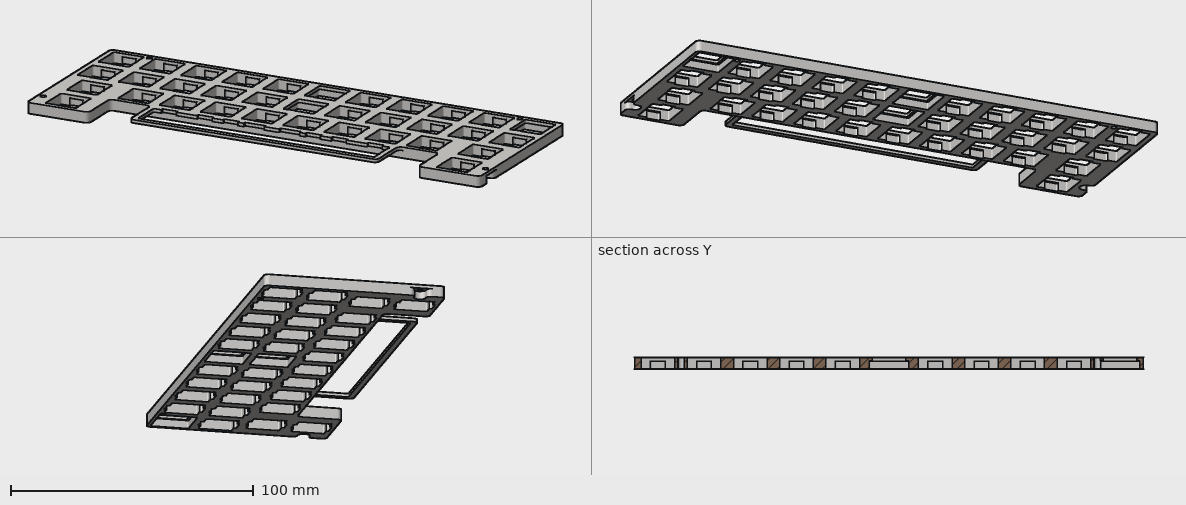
import cadquery as cq
import math

LENGTH = 209.8
DEPTH = 76.4
HEIGHT = 4.8
PLATE_THICKNESS = 1.5
BODY_HEIGHT = HEIGHT - PLATE_THICKNESS
CORNER_RADIUS = 2.0

KEY_COLUMNS = 11
KEY_SPAN = 190.5
KEY_UNIT = KEY_SPAN / (KEY_COLUMNS - 1)
KEY_WEB = 5.0
KEY_OPENING = KEY_UNIT - KEY_WEB
OPENING_CORNER_RADIUS = 0.5
EDGE_COLUMN = 4.75
LAST_COLUMN = (KEY_COLUMNS - 1) / 2
FULL_ROW = [column - LAST_COLUMN for column in range(KEY_COLUMNS)]
LETTER_ROW = [column - 3.5 for column in range(8)]
KEY_ROWS = {
    1.5: FULL_ROW,
    0.5: FULL_ROW,
    -0.5: [-EDGE_COLUMN] + LETTER_ROW + [EDGE_COLUMN],
    -1.5: [-EDGE_COLUMN, EDGE_COLUMN],
}

CLIP_WIDTH = 6.0
CLEARANCE_DEPTH = 1.0
CLIP_CORNER_RADIUS = 0.6
FULL_RELIEF_KEYS = [(0, 1.5), (0, 0.5), (LAST_COLUMN, 1.5)]

BAY_INNER_X = 3 * KEY_UNIT + (LENGTH - KEY_COLUMNS * KEY_UNIT) / 2
BAY_OUTER_X = 4 * KEY_UNIT
BAY_TOP_Y = -KEY_UNIT
BAR_WINDOW_LENGTH = 5 * KEY_UNIT + KEY_OPENING
BAR_WINDOW_Y = -1.5 * KEY_UNIT

STABILIZER_NOTCH_DEPTH = 1.3
STABILIZER_NOTCH_WIDTH = 7.0
STABILIZER_NOTCHES = [
    (8.2, 9.5),
    (KEY_UNIT, STABILIZER_NOTCH_WIDTH),
    (31.0, STABILIZER_NOTCH_WIDTH),
    (2.5 * KEY_UNIT, STABILIZER_NOTCH_WIDTH),
]

SCREW_DIAMETER = 2.3
REAR_SCREW_INSET = 2.7
SIDE_SCREW_INSET = 2.5
REAR_SCREW_X = 4.5 * KEY_UNIT
REAR_SCREW_Y = DEPTH / 2 - REAR_SCREW_INSET
SIDE_SCREW_X = LENGTH / 2 - SIDE_SCREW_INSET
SIDE_SCREW_Y = -28.1
SCREW_HEAD_WIDTH = 5.0


def block(x_min, x_max, y_min, y_max, z_min, z_max):
    """Axis-aligned box given by its limits."""
    size = (x_max - x_min, y_max - y_min, z_max - z_min)
    return cq.Workplane("XY").box(*size, centered=False).translate((x_min, y_min, z_min))


def centered_block(x, y, length, width, z_min, z_max):
    """Box centered on a point in plan."""
    return block(x - length / 2, x + length / 2, y - width / 2, y + width / 2, z_min, z_max)


def outline(z_min, z_max, bays):
    """Rectangular slab open at the front in the given X ranges, all corners rounded."""
    slab = centered_block(0, 0, LENGTH, DEPTH, z_min, z_max)
    for x_min, x_max in bays:
        slab = slab.cut(block(x_min, x_max, -DEPTH, BAY_TOP_Y, z_min, z_max))
    return slab.edges("|Z").fillet(CORNER_RADIUS)


def head_slot():
    """Round-ended screw head clearance under the plate, open to the +X edge through a flared mouth."""
    edge_x = LENGTH / 2
    half_width = SCREW_HEAD_WIDTH / 2
    low_y = SIDE_SCREW_Y - half_width
    high_y = SIDE_SCREW_Y + half_width
    bend = CORNER_RADIUS * (1 - math.sqrt(0.5))
    return (
        cq.Workplane("XY")
        .moveTo(edge_x, high_y + CORNER_RADIUS)
        .threePointArc((edge_x - bend, high_y + bend), (edge_x - CORNER_RADIUS, high_y))
        .lineTo(SIDE_SCREW_X, high_y)
        .threePointArc((SIDE_SCREW_X - half_width, SIDE_SCREW_Y), (SIDE_SCREW_X, low_y))
        .lineTo(edge_x - CORNER_RADIUS, low_y)
        .threePointArc((edge_x - bend, low_y - bend), (edge_x, low_y - CORNER_RADIUS))
        .close()
        .extrude(BODY_HEIGHT)
    )


def make_body():
    """Lower layer: one wide bay, with slots for the side screw heads."""
    body = outline(0, BODY_HEIGHT, [(-BAY_OUTER_X, BAY_OUTER_X)])
    slot = head_slot()
    return body.cut(slot).cut(slot.mirror("YZ"))


def make_plate():
    """Upper layer: two bays leave the space bar frame between them."""
    bays = [(-BAY_OUTER_X, -BAY_INNER_X), (BAY_INNER_X, BAY_OUTER_X)]
    return outline(BODY_HEIGHT, HEIGHT, bays)


def at_keys(tool, keys):
    """Copies of a cutting tool placed on the given (column, row) keys."""
    points = [(column * KEY_UNIT, row * KEY_UNIT) for column, row in keys]
    return cq.Workplane("XY").pushPoints(points).eachpoint(lambda place: tool.val().moved(place))


def rounded_square(size, radius, z_min, z_max):
    """Square block on the origin with rounded upright edges."""
    return centered_block(0, 0, size, size, z_min, z_max).edges("|Z").fillet(radius)


def clip_opening():
    """Switch opening with clip clearance under the plate at its front and rear walls."""
    opening = rounded_square(KEY_OPENING, OPENING_CORNER_RADIUS, 0, HEIGHT)
    clips = centered_block(0, 0, CLIP_WIDTH, KEY_OPENING + 2 * CLEARANCE_DEPTH, 0, BODY_HEIGHT)
    return opening.union(clips.edges("|Z").fillet(CLIP_CORNER_RADIUS))


def relieved_opening():
    """Switch opening widened all around under the plate."""
    opening = rounded_square(KEY_OPENING, OPENING_CORNER_RADIUS, 0, HEIGHT)
    relief_size = KEY_OPENING + 2 * CLEARANCE_DEPTH
    return opening.union(rounded_square(relief_size, OPENING_CORNER_RADIUS, 0, BODY_HEIGHT))


def bar_window():
    """Space bar window with mirrored pairs of stabilizer notches."""
    window = centered_block(0, BAR_WINDOW_Y, BAR_WINDOW_LENGTH, KEY_OPENING, BODY_HEIGHT, HEIGHT)
    window = window.edges("|Z").fillet(OPENING_CORNER_RADIUS)
    rear_y = BAR_WINDOW_Y + KEY_OPENING / 2
    for distance, width in STABILIZER_NOTCHES:
        for x in (-distance, distance):
            notch = block(x - width / 2, x + width / 2, BAR_WINDOW_Y,
                          rear_y + STABILIZER_NOTCH_DEPTH, BODY_HEIGHT, HEIGHT)
            window = window.union(notch)
    return window


def screw_holes():
    """Four through holes, mirrored left to right."""
    points = []
    for side in (-1, 1):
        points.append((side * REAR_SCREW_X, REAR_SCREW_Y))
        points.append((side * SIDE_SCREW_X, SIDE_SCREW_Y))
    return cq.Workplane("XY").pushPoints(points).circle(SCREW_DIAMETER / 2).extrude(HEIGHT)


all_keys = [(column, row) for row, columns in KEY_ROWS.items() for column in columns]
clip_keys = [key for key in all_keys if key not in FULL_RELIEF_KEYS]

result = (
    make_body()
    .union(make_plate())
    .cut(at_keys(clip_opening(), clip_keys))
    .cut(at_keys(relieved_opening(), FULL_RELIEF_KEYS))
    .cut(bar_window())
    .cut(screw_holes())
)